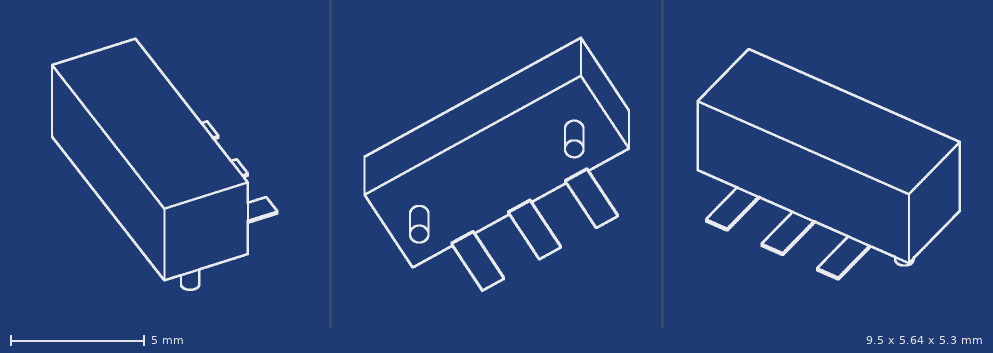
import cadquery as cq

HOUSING_LENGTH = 9.5
HOUSING_DEPTH = 3.51
HOUSING_HEIGHT = 3.5

PEG_DIAMETER = 0.7
PEG_LENGTH = 1.805
PEG_SPACING = 6.8
PEG_Y = HOUSING_DEPTH / 2

TERMINAL_COUNT = 3
TERMINAL_PITCH = 2.5
TERMINAL_WIDTH = 0.96
TERMINAL_THICKNESS = 0.1
TERMINAL_REACH = 2.13
TERMINAL_OVERLAP = 0.12


def make_housing():
    """Plain rectangular block."""
    return cq.Workplane("XY").box(
        HOUSING_LENGTH, HOUSING_DEPTH, HOUSING_HEIGHT, centered=(True, False, False)
    )


def make_peg(x):
    """Cylinder hanging from the underside of the housing."""
    return cq.Workplane("XY").center(x, PEG_Y).circle(PEG_DIAMETER / 2).extrude(-PEG_LENGTH)


def make_terminal(x):
    """Flat strip touching the underside of the housing and reaching out behind it."""
    strip = cq.Workplane("XY").box(
        TERMINAL_WIDTH,
        TERMINAL_REACH + TERMINAL_OVERLAP,
        TERMINAL_THICKNESS,
        centered=(True, False, False),
    )
    return strip.translate((x, HOUSING_DEPTH - TERMINAL_OVERLAP, -TERMINAL_THICKNESS))


housing = make_housing()
pegs = [make_peg(side * PEG_SPACING / 2) for side in (-1, 1)]
first_terminal_x = -TERMINAL_PITCH * (TERMINAL_COUNT - 1) / 2
terminals = [make_terminal(first_terminal_x + i * TERMINAL_PITCH) for i in range(TERMINAL_COUNT)]

result = cq.Compound.makeCompound([
    housing.val(),
    *[peg.val() for peg in pegs],
    *[terminal.val() for terminal in terminals],
])